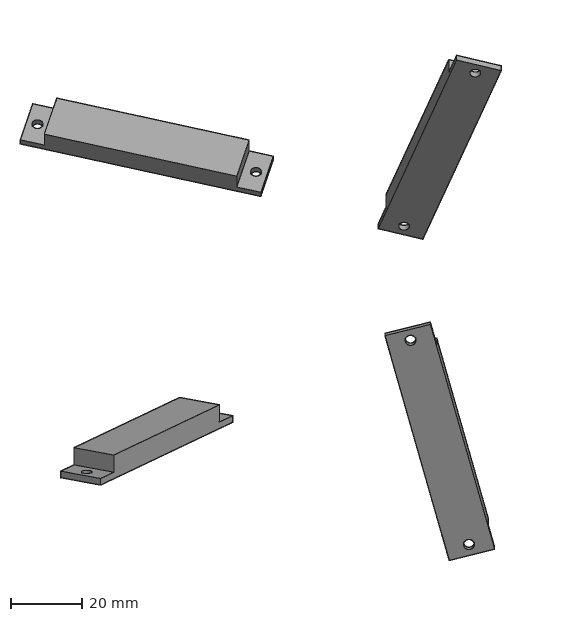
import cadquery as cq

length = 70.0
width = 13.2
height = 7.0

tab_length = 7.0
tab_thickness = 1.95
hole_diameter = 3.0
hole_edge_distance = 3.2

base = cq.Workplane("XY").box(length, width, tab_thickness, centered=(True, True, False))

block_length = length - 2 * tab_length
block = cq.Workplane("XY").box(block_length, width, height, centered=(True, True, False))

hole_x = length / 2 - hole_edge_distance
holes = (
    cq.Workplane("XY")
    .pushPoints([(-hole_x, 0), (hole_x, 0)])
    .circle(hole_diameter / 2)
    .extrude(tab_thickness)
)

result = base.union(block).cut(holes)